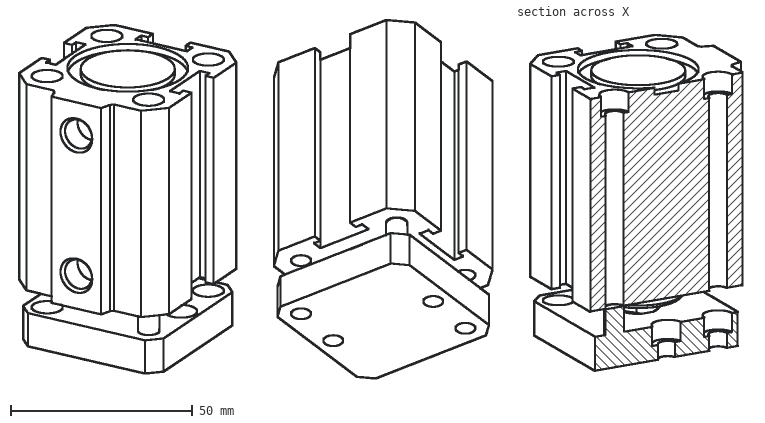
import cadquery as cq

TOTAL_HEIGHT = 79.5
HOUSING_HEIGHT = 62.0
HOUSING_BASE = TOTAL_HEIGHT - HOUSING_HEIGHT
PLATE_HEIGHT = 10.0

HOUSING_WIDTH = 48.0
HALF_WIDTH = HOUSING_WIDTH / 2
HOUSING_CHAMFER = 5.65
OVERALL_DEPTH = 52.0

BOSS_HEIGHT = OVERALL_DEPTH - HOUSING_WIDTH
BOSS_FOOT_HALF_WIDTH = 9.7
BOSS_FOOT_CHAMFER = 0.8
BOSS_TIP_HALF_WIDTH = 7.95

SLOT_MOUTH_WIDTH = 12.0
SLOT_INNER_WIDTH = 16.4
SLOT_LIP = 2.7
SLOT_DEPTH = 5.7

CORNER_SPACING = 32.5
CORNER_HALF_SPACING = CORNER_SPACING / 2
CORNER_HOLE_DIAMETER = 5.5
CORNER_COUNTERBORE_DIAMETER = 8.6
CORNER_COUNTERBORE_DEPTH = 5.7

RECESS_DIAMETER = 33.3
RECESS_DEPTH = 2.0
CAP_DIAMETER = 26.0
CAP_HEIGHT = 1.7

COLLAR_DIAMETER = CAP_DIAMETER
COLLAR_HEIGHT = 3.6
COLLAR_CHAMFER = 1.1

PORT_DIAMETER = 8.6
PORT_MOUTH_DIAMETER = 10.2
PORT_MOUTH_DEPTH = 1.1
PORT_DEPTH = 7.95
PORT_END_DISTANCE = 9.9

PLATE_WIDTH = 45.0
PLATE_CHAMFER = 3.7
PLATE_HOLE_DIAMETER = CORNER_HOLE_DIAMETER
PLATE_COUNTERBORE_DEPTH = 5.6
SIDE_HOLE_OFFSET = 17.0
SIDE_COUNTERBORE_DIAMETER = 9.0

ROD_DIAMETER = 12.0
ROD_FLATS_WIDTH = 10.0
ROD_CHAMFER = 0.6
FLATS_TOP = HOUSING_BASE - 4.45
GUIDE_ROD_DIAMETER = 6.0
GUIDE_ROD_CORNERS = [
    (-CORNER_HALF_SPACING, CORNER_HALF_SPACING),
    (CORNER_HALF_SPACING, -CORNER_HALF_SPACING),
]
OPEN_CORNERS = [(-x, y) for x, y in GUIDE_ROD_CORNERS]


def chamfered_block(width, height, chamfer, base):
    """Square block centred on the Z axis with chamfered vertical edges."""
    block = cq.Workplane("XY").workplane(offset=base).rect(width, width).extrude(height)
    return block.edges("|Z").chamfer(chamfer)


def cylinder(diameter, height, base):
    """Upright cylinder on the Z axis."""
    return cq.Workplane("XY").workplane(offset=base).circle(diameter / 2).extrude(height)


def counterbored_holes(body, top, points, hole_diameter, bore_diameter, bore_depth):
    """Through holes cut down from the level `top`, counterbored at their upper ends."""
    level = cq.Workplane("XY").workplane(offset=top).pushPoints(points)
    body = body.cut(level.circle(hole_diameter / 2).extrude(-TOTAL_HEIGHT))
    return body.cut(level.circle(bore_diameter / 2).extrude(-bore_depth))


def port_boss():
    """Boss on the -Y side, with a 45-degree foot and tapered flanks."""
    shoulder_half_width = BOSS_FOOT_HALF_WIDTH - BOSS_FOOT_CHAMFER
    right_side = [
        (BOSS_FOOT_HALF_WIDTH, -HALF_WIDTH),
        (shoulder_half_width, -HALF_WIDTH - BOSS_FOOT_CHAMFER),
        (BOSS_TIP_HALF_WIDTH, -HALF_WIDTH - BOSS_HEIGHT),
    ]
    left_side = [(-x, y) for x, y in reversed(right_side)]
    root = [(-BOSS_FOOT_HALF_WIDTH, 0), (BOSS_FOOT_HALF_WIDTH, 0)]
    outline = cq.Workplane("XY").workplane(offset=HOUSING_BASE).polyline(right_side + left_side + root)
    return outline.close().extrude(HOUSING_HEIGHT)


def slot_prism(width, outer_y):
    """Prism from `outer_y` in to the slot floor, over the full housing height."""
    depth = outer_y - (HALF_WIDTH - SLOT_DEPTH)
    level = cq.Workplane("XY").workplane(offset=HOUSING_BASE)
    return level.center(0, outer_y - depth / 2).rect(width, depth).extrude(HOUSING_HEIGHT)


def t_slot(angle):
    """T-slot cutter for the +Y side, turned about Z by `angle` degrees."""
    mouth = slot_prism(SLOT_MOUTH_WIDTH, HALF_WIDTH)
    inner = slot_prism(SLOT_INNER_WIDTH, HALF_WIDTH - SLOT_LIP)
    cutter = mouth.union(inner)
    return cutter.rotate((0, 0, 0), (0, 0, 1), angle)


def port(height):
    """Port cutter with a conical mouth, entering the boss in the +Y direction."""
    boss_face = -HALF_WIDTH - BOSS_HEIGHT
    profile = [
        (0, boss_face),
        (PORT_MOUTH_DIAMETER / 2, boss_face),
        (PORT_DIAMETER / 2, boss_face + PORT_MOUTH_DEPTH),
        (PORT_DIAMETER / 2, boss_face + PORT_DEPTH),
        (0, boss_face + PORT_DEPTH),
    ]
    cutter = cq.Workplane("XY").polyline(profile).close().revolve(360, (0, 0), (0, 1))
    return cutter.translate((0, 0, height))


def rod_collar():
    """Collar under the housing with a chamfered lower end."""
    collar = cylinder(COLLAR_DIAMETER, COLLAR_HEIGHT, HOUSING_BASE - COLLAR_HEIGHT)
    return collar.faces("<Z").chamfer(COLLAR_CHAMFER)


def make_housing():
    body = chamfered_block(HOUSING_WIDTH, HOUSING_HEIGHT, HOUSING_CHAMFER, HOUSING_BASE)
    body = body.union(port_boss())
    for angle in (-90, 0, 90):
        body = body.cut(t_slot(angle))

    body = counterbored_holes(
        body,
        TOTAL_HEIGHT,
        GUIDE_ROD_CORNERS + OPEN_CORNERS,
        CORNER_HOLE_DIAMETER,
        CORNER_COUNTERBORE_DIAMETER,
        CORNER_COUNTERBORE_DEPTH,
    )

    recess_floor = TOTAL_HEIGHT - RECESS_DEPTH
    body = body.cut(cylinder(RECESS_DIAMETER, RECESS_DEPTH, recess_floor))
    body = body.union(cylinder(CAP_DIAMETER, CAP_HEIGHT, recess_floor))

    for height in (HOUSING_BASE + PORT_END_DISTANCE, TOTAL_HEIGHT - PORT_END_DISTANCE):
        body = body.cut(port(height))
    return body.union(rod_collar())


def piston_rod():
    """Piston rod from the plate to the collar, with two wrench flats facing +X and -X."""
    rod_height = HOUSING_BASE - COLLAR_HEIGHT - PLATE_HEIGHT
    rod = cylinder(ROD_DIAMETER, rod_height, PLATE_HEIGHT).faces("<Z").chamfer(ROD_CHAMFER)
    flats_height = FLATS_TOP - PLATE_HEIGHT
    for side in (-1, 1):
        flat_cut = cq.Workplane("XY").box(ROD_DIAMETER, ROD_DIAMETER, flats_height)
        cut_centre_x = side * (ROD_FLATS_WIDTH + ROD_DIAMETER) / 2
        rod = rod.cut(flat_cut.translate((cut_centre_x, 0, PLATE_HEIGHT + flats_height / 2)))
    return rod


def guide_rods():
    """Two guide rods at opposite corners, ending against the housing."""
    level = cq.Workplane("XY").workplane(offset=PLATE_HEIGHT).pushPoints(GUIDE_ROD_CORNERS)
    return level.circle(GUIDE_ROD_DIAMETER / 2).extrude(HOUSING_BASE - PLATE_HEIGHT)


def make_carriage():
    body = chamfered_block(PLATE_WIDTH, PLATE_HEIGHT, PLATE_CHAMFER, 0)
    side_points = [(-SIDE_HOLE_OFFSET, 0), (SIDE_HOLE_OFFSET, 0)]
    for points, bore_diameter in (
        (OPEN_CORNERS, CORNER_COUNTERBORE_DIAMETER),
        (side_points, SIDE_COUNTERBORE_DIAMETER),
    ):
        body = counterbored_holes(
            body, PLATE_HEIGHT, points, PLATE_HOLE_DIAMETER, bore_diameter, PLATE_COUNTERBORE_DEPTH
        )
    return body.union(piston_rod()).union(guide_rods())


housing = make_housing()
carriage = make_carriage()

result = cq.Compound.makeCompound([housing.val(), carriage.val()])